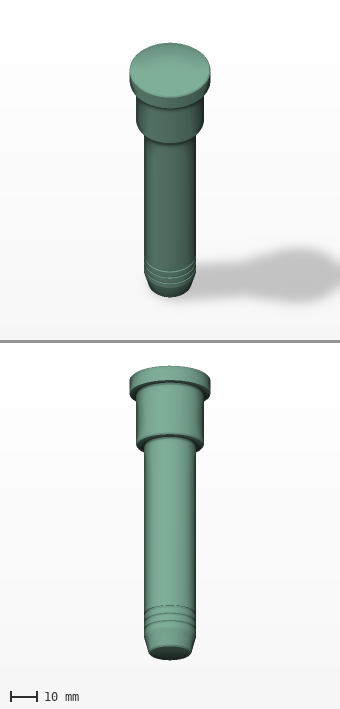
import cadquery as cq
import math

total_length = 112.0
head_diameter = 31.0
head_thickness = 6.0
head_chamfer = 0.5

shoulder_diameter = 26.1
shoulder_length = 21.0
shoulder_chamfer_height = 0.6
shoulder_chamfer_inset = 0.3

pin_diameter = 20.0
taper_length = 7.0
taper_angle = 15.0
tip_chamfer_height = 0.6
tip_chamfer_inset = 0.3

groove_width = 1.0
groove_depth = 0.3
ring_count = 3
ring_pitch = 3.0
first_ring_z = 9.0

head_bottom = total_length - head_thickness
shoulder_bottom = head_bottom - shoulder_length
tip_diameter = pin_diameter - 2 * taper_length * math.tan(math.radians(taper_angle))


def cylinder(diameter, bottom, top):
    return cq.Workplane("XY").workplane(offset=bottom).circle(diameter / 2).extrude(top - bottom)


def groove(diameter, bottom, bevel_low):
    """Ring-shaped cutter for a groove with one square wall and one 45 degree wall.

    The sloping wall is the lower one when bevel_low is true, otherwise the upper one.
    """
    outer_radius = diameter / 2
    floor_radius = outer_radius - groove_depth
    top = bottom + groove_width
    floor_bottom = bottom + groove_depth if bevel_low else bottom
    floor_top = floor_bottom + groove_width - groove_depth
    return (
        cq.Workplane("XZ")
        .moveTo(outer_radius, bottom)
        .lineTo(outer_radius, top)
        .lineTo(floor_radius, floor_top)
        .lineTo(floor_radius, floor_bottom)
        .close()
        .revolve(360, (0, 0, 0), (0, 1, 0))
    )


head = cylinder(head_diameter, head_bottom, total_length).faces(">Z").chamfer(head_chamfer)
shoulder = (
    cylinder(shoulder_diameter, shoulder_bottom, head_bottom)
    .faces("<Z")
    .chamfer(shoulder_chamfer_height, shoulder_chamfer_inset)
)
pin = cylinder(pin_diameter, taper_length, shoulder_bottom)
lead_in = (
    cq.Workplane("XY")
    .circle(tip_diameter / 2)
    .workplane(offset=taper_length)
    .circle(pin_diameter / 2)
    .loft(ruled=True)
    .faces("<Z")
    .chamfer(tip_chamfer_height, tip_chamfer_inset)
)

shoulder = shoulder.cut(groove(shoulder_diameter, head_bottom - groove_width, bevel_low=True))
pin = pin.cut(groove(pin_diameter, shoulder_bottom - groove_width, bevel_low=True))
for ring in range(ring_count):
    is_top_ring = ring == ring_count - 1
    pin = pin.cut(groove(pin_diameter, first_ring_z + ring * ring_pitch, bevel_low=is_top_ring))

result = head.union(shoulder).union(pin).union(lead_in)